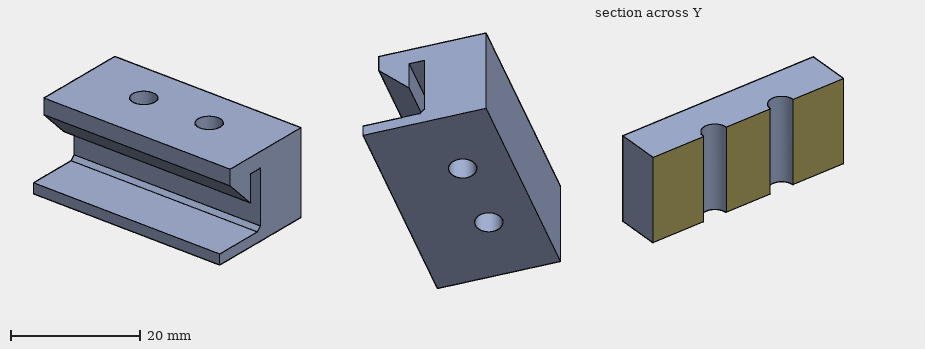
import cadquery as cq

length = 37.0
depth = 20.0
height = 15.75

base_thickness = 1.95
wall_front = 10.0
corner_chamfer = 0.75
lip_front = 2.55
lip_thickness = 2.92
tooth_back = 7.5
tooth_drop = 5.07

hole_diameter = 4.35
hole_spacing = 13.0
hole_y = 12.3

lip_underside = height - lip_thickness


def clamp_body():
    """Hooked profile extruded along X, centred on X = 0."""
    profile = [
        (0, 0),
        (depth, 0),
        (depth, height),
        (lip_front, height),
        (lip_front, lip_underside),
        (tooth_back, lip_underside - tooth_drop),
        (tooth_back, lip_underside),
        (wall_front, lip_underside),
        (wall_front, base_thickness + corner_chamfer),
        (wall_front - corner_chamfer, base_thickness),
        (0, base_thickness),
    ]
    return cq.Workplane("YZ").polyline(profile).close().extrude(length / 2, both=True)


def mounting_holes():
    """Two vertical through holes in the rear wall."""
    centres = [(side * hole_spacing / 2, hole_y) for side in (-1, 1)]
    return cq.Workplane("XY").pushPoints(centres).circle(hole_diameter / 2).extrude(height)


result = clamp_body().cut(mounting_holes())